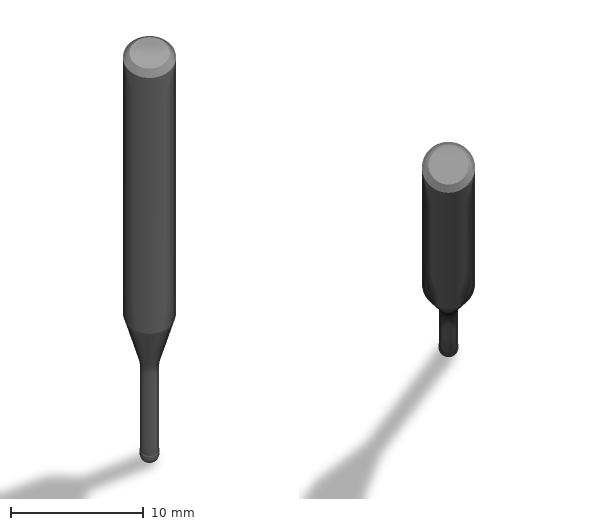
import math
import cadquery as cq

overall_length = 50.0
shank_radius = 2.0
chamfer_size = 0.5
taper_end = 18.0

ball_radius = 0.75
head_length = 1.2
shoulder_height = 0.1

neck_radius = 0.72
reach = 12.0
taper_angle = math.atan2(shank_radius - neck_radius, taper_end - reach)
blend_tangent_length = 0.6
blend_radius = blend_tangent_length / math.tan(taper_angle / 2)
blend_start = reach - blend_tangent_length
reach_angle = math.asin(blend_tangent_length / blend_radius)


def blend_point(angle):
    """Outline point on the blend where the surface has turned outward by the given angle."""
    radius = neck_radius + blend_radius * (1 - math.cos(angle))
    return (-radius, blend_start + blend_radius * math.sin(angle))


def revolve_about_z(profile):
    """Turn a (radius, height) profile, drawn on the YZ plane, about the Z axis."""
    return profile.close().revolve(360, (0, 0, 0), (0, 1, 0))


def make_cutter():
    """Ball-nose head and slim neck, up to the reach."""
    arc_offset = ball_radius * math.sin(math.pi / 4)
    profile = (
        cq.Workplane("YZ")
        .moveTo(0, 0)
        .threePointArc((-arc_offset, ball_radius - arc_offset), (-ball_radius, ball_radius))
        .lineTo(-ball_radius, head_length)
        .lineTo(-neck_radius, head_length + shoulder_height)
        .lineTo(-neck_radius, blend_start)
        .threePointArc(blend_point(reach_angle / 2), blend_point(reach_angle))
        .lineTo(0, reach)
    )
    return revolve_about_z(profile)


def make_shank():
    """Chamfered shank with a taper that runs down through the blend to the reach."""
    profile = (
        cq.Workplane("YZ")
        .moveTo(0, reach)
        .lineTo(*blend_point(reach_angle))
        .threePointArc(blend_point((reach_angle + taper_angle) / 2), blend_point(taper_angle))
        .lineTo(-shank_radius, taper_end)
        .lineTo(-shank_radius, overall_length - chamfer_size)
        .lineTo(-(shank_radius - chamfer_size), overall_length)
        .lineTo(0, overall_length)
    )
    return revolve_about_z(profile)


cutter = make_cutter()
shank = make_shank()

result = cq.Compound.makeCompound([cutter.val(), shank.val()])